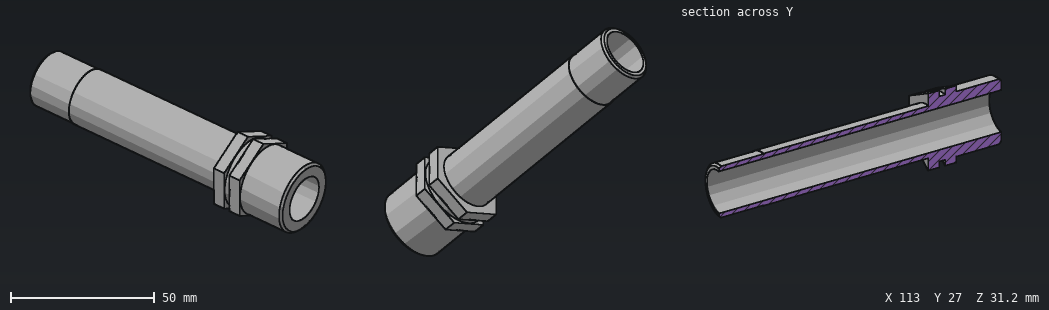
import cadquery as cq
import math

total_length = 113.0
left_end = -total_length / 2
right_end = total_length / 2

bore_diameter = 16.7
tip_diameter = 20.9
tip_length = 17.7
tip_chamfer = 0.8
barrel_diameter = 21.2

head_diameter = 26.4
head_chamfer = 0.9
hex_across_flats = 27.0
hex_thickness = 4.5
hex_gap = 2.3
first_hex_offset = 83.7


def cylinder(start, end, diameter):
    """Solid round bar along X between two positions."""
    return cq.Workplane("YZ", origin=(start, 0, 0)).circle(diameter / 2).extrude(end - start)


def hex_collar(start):
    """Hexagonal collar with flats facing +Y and -Y and corners on Z."""
    across_corners = hex_across_flats / math.cos(math.pi / 6)
    return (
        cq.Workplane("YZ", origin=(start, 0, 0))
        .transformed(rotate=(0, 0, 90))
        .polygon(6, across_corners)
        .extrude(hex_thickness)
    )


barrel_start = left_end + tip_length
head_start = left_end + first_hex_offset
collar_pitch = hex_thickness + hex_gap

tip = cylinder(left_end, barrel_start, tip_diameter).faces("<X").chamfer(tip_chamfer)
barrel = cylinder(barrel_start, head_start, barrel_diameter)
head = cylinder(head_start, right_end, head_diameter).faces(">X").chamfer(head_chamfer)

body = tip.union(barrel).union(head)
for collar_index in range(2):
    body = body.union(hex_collar(head_start + collar_index * collar_pitch))

result = body.cut(cylinder(left_end, right_end, bore_diameter))